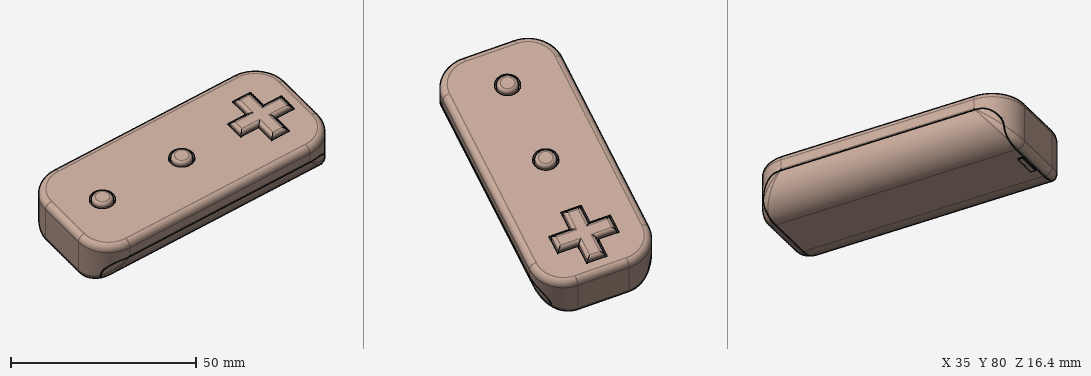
import cadquery as cq


LENGTH = 80.0
WIDTH = 35.0
THICKNESS = 15.0
CORNER_RADIUS = 10.0
RIM_RADIUS = 2.0

CONTROL_RISE = 1.0
CONTROL_EDGE_RADIUS = CONTROL_RISE
CONTROL_GAP = 0.5
RECESS_DEPTH = 2.0
CONTROL_SPACING = 26.5
PAD_Y = CONTROL_SPACING
BUTTON_POSITIONS = [0, -CONTROL_SPACING]
PAD_RECESS_SPAN = 18.0
PAD_RECESS_ARM = 6.0
BUTTON_DIAMETER = 6.0
BUTTON_RECESS_DIAMETER = 7.0

COVER_OPENING_LENGTH = 75.0
COVER_OPENING_HEIGHT = 9.6
COVER_OPENING_RADIUS = 6.0
COVER_GAP = 0.2

TAB_WIDTH = 7.0
TAB_LENGTH = 1.4
TAB_DROP = 0.4
TAB_Y = -36.4

RECESS_FLOOR = THICKNESS - RECESS_DEPTH


def plain_block():
    return cq.Workplane("XY").box(WIDTH, LENGTH, THICKNESS, centered=(True, True, False))


def outer_shell():
    """Solid outer form: rounded plan crossed with a rounded cross-section, then the rims rounded."""
    rounded_plan = plain_block().edges("|Z").fillet(CORNER_RADIUS)
    rounded_section = plain_block().edges("|Y and <Z").fillet(CORNER_RADIUS)
    shell = rounded_plan.intersect(rounded_section)
    for end in ("<Y", ">Y"):
        shell = shell.faces(end).edges("<Z").fillet(RIM_RADIUS)
    return shell.faces(">Z").edges().fillet(RIM_RADIUS)


def cover_block(gap):
    """Block across the full width, with rounded upper ends, set back by the gap at its ends and top."""
    length = COVER_OPENING_LENGTH - 2 * gap
    height = COVER_OPENING_HEIGHT - gap
    block = cq.Workplane("XY").box(WIDTH, length, height, centered=(True, True, False))
    return block.edges("|X and >Z").fillet(COVER_OPENING_RADIUS - gap)


def cross_prism(span, arm, height):
    """Plus-shaped prism standing on the recess floor."""
    base = cq.Workplane("XY", origin=(0, PAD_Y, RECESS_FLOOR))
    centered = (True, True, False)
    return base.box(span, arm, height, centered=centered).union(base.box(arm, span, height, centered=centered))


def round_prism(diameter, height, y):
    """Cylinder standing on the recess floor."""
    return cq.Workplane("XY", origin=(0, y, RECESS_FLOOR)).circle(diameter / 2).extrude(height)


def make_housing(shell):
    housing = shell.cut(cover_block(0))
    housing = housing.cut(cross_prism(PAD_RECESS_SPAN, PAD_RECESS_ARM, RECESS_DEPTH))
    for y in BUTTON_POSITIONS:
        housing = housing.cut(round_prism(BUTTON_RECESS_DIAMETER, RECESS_DEPTH, y))
    return housing


def make_cover(shell):
    cover = shell.intersect(cover_block(COVER_GAP))
    tab = cq.Workplane("XY", origin=(0, TAB_Y, 0)).rect(TAB_WIDTH, TAB_LENGTH).extrude(-TAB_DROP)
    return cover.union(tab)


def make_pad():
    span = PAD_RECESS_SPAN - 2 * CONTROL_GAP
    arm = PAD_RECESS_ARM - 2 * CONTROL_GAP
    pad = cross_prism(span, arm, RECESS_DEPTH + CONTROL_RISE)
    return pad.faces(">Z").edges().fillet(CONTROL_EDGE_RADIUS)


def make_button(y):
    button = round_prism(BUTTON_DIAMETER, RECESS_DEPTH + CONTROL_RISE, y)
    return button.faces(">Z").edges().fillet(CONTROL_EDGE_RADIUS)


shell = outer_shell()
housing = make_housing(shell)
cover = make_cover(shell)
pad = make_pad()
buttons = [make_button(y) for y in BUTTON_POSITIONS]

result = cq.Compound.makeCompound(
    [housing.val(), cover.val(), pad.val(), *[button.val() for button in buttons]]
)